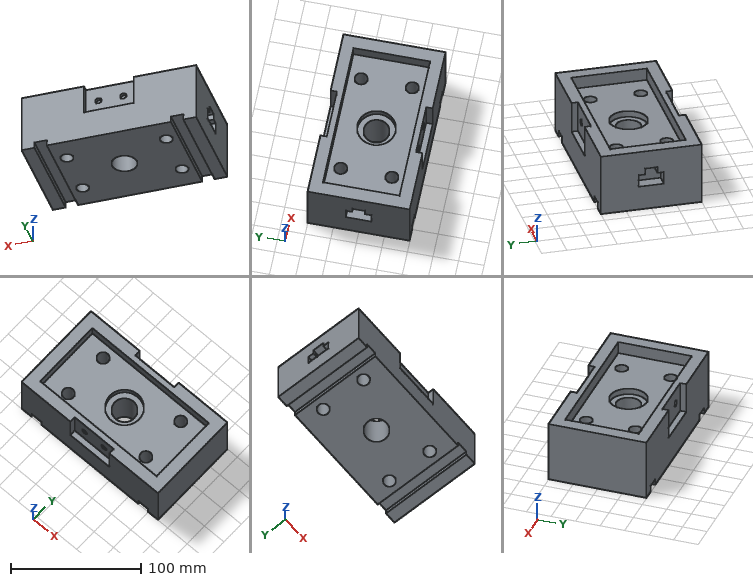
import cadquery as cq

length = 140.5
width = 80.0
height = 50.0

pocket_length = 119.9
pocket_width = 60.0
pocket_depth = 10.0
floor_z = height - pocket_depth

bore_diameter = 20.0
counterbore_diameter = 30.0
counterbore_depth = 5.0
mount_diameter = 10.0
mount_spacing_x = 80.0
mount_spacing_y = 40.0

recess_length = 40.0
recess_depth = 5.0
recess_height = 25.0
pin_diameter = 5.0
pin_spacing = 20.0
pin_depth = 2.5
pin_z = height - recess_height / 2

groove_width = 10.0
groove_depth = 5.0
groove_center_x = 55.0

socket_width = 20.0
socket_bottom = 20.0
socket_height = 10.0
key_width = 10.0
key_height = 5.0
socket_depth = 10.0


def box(size_x, size_y, size_z, x, y, z):
    """Box centred on x and y, with its underside at z."""
    solid = cq.Workplane("XY").box(size_x, size_y, size_z, centered=(True, True, False))
    return solid.translate((x, y, z))


def cut_top(body):
    """Pocket, stepped bore and mounting holes."""
    body = body.cut(box(pocket_length, pocket_width, pocket_depth, 0, 0, floor_z))
    floor = cq.Workplane("XY").workplane(offset=floor_z)
    counterbore = floor.circle(counterbore_diameter / 2).extrude(-counterbore_depth)
    bore = floor.circle(bore_diameter / 2).extrude(-floor_z)
    mounts = (
        floor.rect(mount_spacing_x, mount_spacing_y, forConstruction=True)
        .vertices()
        .circle(mount_diameter / 2)
        .extrude(-floor_z)
    )
    return body.cut(counterbore).cut(bore).cut(mounts)


def cut_side_recesses(body):
    """Recesses and small blind holes in both long sides, the holes lying below the pocket floor."""
    recess_y = (width - recess_depth) / 2
    for side in (-1, 1):
        body = body.cut(
            box(recess_length, recess_depth, recess_height, 0, side * recess_y, height - recess_height)
        )
    for side in (-1, 1):
        pins = (
            cq.Workplane("XZ", origin=(0, side * width / 2, pin_z))
            .pushPoints([(-pin_spacing / 2, 0), (pin_spacing / 2, 0)])
            .circle(pin_diameter / 2)
            .extrude(side * (recess_depth + pin_depth))
        )
        body = body.cut(pins)
    return body


def cut_grooves(body):
    """Grooves across the full width of the underside."""
    for x in (-groove_center_x, groove_center_x):
        body = body.cut(box(groove_width, width, groove_depth, x, 0, 0))
    return body


def cut_socket(body):
    """Blind socket with a narrower key slot above it."""
    x = (socket_depth - length) / 2
    body = body.cut(box(socket_depth, socket_width, socket_height, x, 0, socket_bottom))
    return body.cut(box(socket_depth, key_width, key_height, x, 0, socket_bottom + socket_height))


block = box(length, width, height, 0, 0, 0)
result = cut_socket(cut_grooves(cut_side_recesses(cut_top(block))))